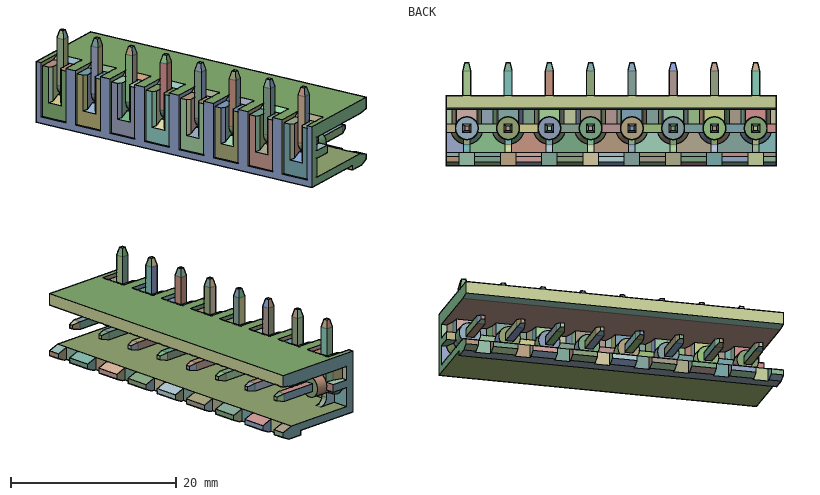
import cadquery as cq


WAYS = 8
PITCH = 5.0
LENGTH = WAYS * PITCH
DEPTH = 12.0
BODY_BOTTOM = 0.6
BODY_TOP = 8.5
WALL = 1.1
FLOOR_TOP = 1.6
ROOF_UNDERSIDE = 6.8

ROOF_LEAD_LENGTH = 1.4
ROOF_LEAD_HEIGHT = 0.2
LATCH_LENGTH = 3.05
LATCH_LEAD_LENGTH = 1.0
LATCH_TIP_BOTTOM = 0.45
LATCH_TIP_TOP = 1.1
FLOOR_LEAD_LENGTH = 1.4
LATCH_NOTCH_WIDTH = 1.9

PIN_SIZE = 1.0
PIN_HEIGHT = 12.5
PIN_REACH = 10.8
PIN_FRONT = 1.5
PIN_AXIS_Z = 4.55
PIN_BEND_RADIUS = 1.3
PIN_TIP_LENGTH = 1.0
PIN_TIP_SIZE = 0.5

RECESS_WIDTH = 3.6
RECESS_DEPTH = 0.36
RECESS_BOTTOM = 1.45
RECESS_BOTTOM_DROP = 0.05
STEP_DROP = 0.5
STEP_DEPTH = 2.8
STEP_SLOPE_END = 3.54

SLOT_WIDTH = 1.08
SLOT_FLARE_END = 0.78
SLOT_MOUTH_WIDTH = 1.85
SLOT_BOTTOM = 3.35
SLOT_SLOPE_END = 1.85

BOSS_RADIUS = 1.4
BOSS_END_RADIUS = 1.35
BOSS_END = 4.95
BOSS_FLARE_RADIUS = 1.95
BOSS_FLARE_END = 2.35
BLOCK_WALL_WIDTH = 3.6
BLOCK_END_WIDTH = 2.5
SUPPORT_END = 3.4
WEB_THICKNESS = 0.8
WEB_END = 2.45
WEB_FILLET_RADIUS = 1.0

PIN_BOTTOM = PIN_AXIS_Z - PIN_SIZE / 2
PIN_TOP = PIN_AXIS_Z + PIN_SIZE / 2
PIN_BACK = PIN_FRONT + PIN_SIZE
STEP_FLOOR = BODY_TOP - STEP_DROP


def extrude_section(section, x_start, x_end):
    """Extrude a closed YZ sketch from x_start to x_end."""
    return section.extrude(x_end - x_start).translate((x_start, 0, 0))


def box(x_range, y_range, z_range):
    """Make a box from its limits along the three axes."""
    size = [high - low for low, high in (x_range, y_range, z_range)]
    corner = (x_range[0], y_range[0], z_range[0])
    return cq.Workplane("XY").box(*size, centered=False).translate(corner)


def make_housing():
    section = cq.Workplane("YZ").polyline([
        (0, BODY_BOTTOM),
        (DEPTH - LATCH_LENGTH, BODY_BOTTOM),
        (DEPTH - LATCH_LENGTH, 0),
        (DEPTH - LATCH_LEAD_LENGTH, 0),
        (DEPTH, LATCH_TIP_BOTTOM),
        (DEPTH, LATCH_TIP_TOP),
        (DEPTH - FLOOR_LEAD_LENGTH, FLOOR_TOP),
        (WALL, FLOOR_TOP),
        (WALL, ROOF_UNDERSIDE),
        (DEPTH - ROOF_LEAD_LENGTH, ROOF_UNDERSIDE),
        (DEPTH, ROOF_UNDERSIDE + ROOF_LEAD_HEIGHT),
        (DEPTH, BODY_TOP),
        (0, BODY_TOP),
    ]).close()
    rib = box((0, LENGTH), (0, SUPPORT_END), (PIN_BOTTOM, PIN_TOP))
    return extrude_section(section, 0, LENGTH).union(rib)


def make_support(x):
    """Round boss, the half-round flare that joins it to the wall, the block above and the web below."""
    flare = (
        cq.Workplane("XY")
        .polyline([
            (0, WALL),
            (BOSS_FLARE_RADIUS, WALL),
            (BOSS_RADIUS, BOSS_FLARE_END),
            (BOSS_RADIUS, SUPPORT_END),
            (0, SUPPORT_END),
        ])
        .close()
        .revolve(180, (0, 0, 0), (0, 1, 0))
        .translate((x, 0, PIN_AXIS_Z))
    )
    boss = (
        cq.Workplane("XY")
        .polyline([
            (0, SUPPORT_END),
            (BOSS_RADIUS, SUPPORT_END),
            (BOSS_END_RADIUS, BOSS_END),
            (0, BOSS_END),
        ])
        .close()
        .revolve(360, (0, 0, 0), (0, 1, 0))
        .translate((x, 0, PIN_AXIS_Z))
    )
    block = (
        cq.Workplane("XY")
        .workplane(offset=PIN_AXIS_Z)
        .polyline([
            (x - BLOCK_WALL_WIDTH / 2, WALL),
            (x + BLOCK_WALL_WIDTH / 2, WALL),
            (x + BOSS_RADIUS, BOSS_FLARE_END),
            (x + BLOCK_END_WIDTH / 2, SUPPORT_END),
            (x - BLOCK_END_WIDTH / 2, SUPPORT_END),
            (x - BOSS_RADIUS, BOSS_FLARE_END),
        ])
        .close()
        .extrude(ROOF_UNDERSIDE - PIN_AXIS_Z)
    )
    web_section = (
        cq.Workplane("YZ")
        .moveTo(WALL, BODY_BOTTOM)
        .lineTo(WEB_END + WEB_FILLET_RADIUS, BODY_BOTTOM)
        .lineTo(WEB_END + WEB_FILLET_RADIUS, FLOOR_TOP)
        .radiusArc((WEB_END, FLOOR_TOP + WEB_FILLET_RADIUS), WEB_FILLET_RADIUS)
        .lineTo(WEB_END, PIN_AXIS_Z)
        .lineTo(WALL, PIN_AXIS_Z)
        .close()
    )
    web = extrude_section(web_section, x - WEB_THICKNESS / 2, x + WEB_THICKNESS / 2)
    return flare.union(boss).union(block).union(web)


def make_recess(x):
    """Shallow front recess that runs up into a sloped-back step in the roof."""
    section = cq.Workplane("YZ").polyline([
        (0, RECESS_BOTTOM),
        (RECESS_DEPTH, RECESS_BOTTOM - RECESS_BOTTOM_DROP),
        (RECESS_DEPTH, STEP_FLOOR),
        (STEP_DEPTH, STEP_FLOOR),
        (STEP_SLOPE_END, BODY_TOP),
        (0, BODY_TOP),
    ]).close()
    return extrude_section(section, x - RECESS_WIDTH / 2, x + RECESS_WIDTH / 2)


def make_slot(x):
    """Flared upright slot with a sloping floor that ends under the bend of the pin."""
    half_outline = [
        (SLOT_MOUTH_WIDTH / 2, RECESS_DEPTH),
        (SLOT_WIDTH / 2, SLOT_FLARE_END),
        (SLOT_WIDTH / 2, PIN_BACK),
    ]
    right_side = [(x + offset, y) for offset, y in half_outline]
    left_side = [(x - offset, y) for offset, y in reversed(half_outline)]
    plan = (
        cq.Workplane("XY")
        .workplane(offset=SLOT_BOTTOM)
        .polyline(right_side + left_side)
        .close()
        .extrude(STEP_FLOOR - SLOT_BOTTOM)
    )
    section = cq.Workplane("YZ").polyline([
        (RECESS_DEPTH, SLOT_BOTTOM),
        (SLOT_SLOPE_END, PIN_BOTTOM),
        (PIN_BACK, PIN_BOTTOM),
        (PIN_BACK, STEP_FLOOR),
        (RECESS_DEPTH, STEP_FLOOR),
    ]).close()
    return plan.intersect(extrude_section(section, x - SLOT_MOUTH_WIDTH, x + SLOT_MOUTH_WIDTH))


def make_latch_notch(x):
    """Gap in the free edge of the floor."""
    half = LATCH_NOTCH_WIDTH / 2
    return box((x - half, x + half), (DEPTH - FLOOR_LEAD_LENGTH, DEPTH), (0, FLOOR_TOP))


def make_pin(x):
    """Square pin bent through a right angle, with a tapered tip at both ends."""
    leg_top = PIN_HEIGHT - PIN_TIP_LENGTH
    leg_end = PIN_REACH - PIN_TIP_LENGTH
    section = (
        cq.Workplane("YZ")
        .moveTo(PIN_FRONT, leg_top)
        .lineTo(PIN_FRONT, PIN_BOTTOM + PIN_BEND_RADIUS)
        .radiusArc((PIN_FRONT + PIN_BEND_RADIUS, PIN_BOTTOM), -PIN_BEND_RADIUS)
        .lineTo(leg_end, PIN_BOTTOM)
        .lineTo(leg_end, PIN_TOP)
        .lineTo(PIN_BACK, PIN_TOP)
        .lineTo(PIN_BACK, leg_top)
        .close()
    )
    bent_bar = extrude_section(section, x - PIN_SIZE / 2, x + PIN_SIZE / 2)
    tip = (
        cq.Workplane("XY")
        .rect(PIN_SIZE, PIN_SIZE)
        .workplane(offset=PIN_TIP_LENGTH)
        .rect(PIN_TIP_SIZE, PIN_TIP_SIZE)
        .loft()
    )
    upright_tip = tip.translate((x, (PIN_FRONT + PIN_BACK) / 2, leg_top))
    level_tip = tip.rotate((0, 0, 0), (1, 0, 0), -90).translate((x, leg_end, PIN_AXIS_Z))
    return bent_bar.union(upright_tip).union(level_tip)


way_centres = [(way + 0.5) * PITCH for way in range(WAYS)]
result = make_housing()
for centre in way_centres:
    result = result.union(make_support(centre))
for centre in way_centres:
    result = result.cut(make_recess(centre)).cut(make_slot(centre)).cut(make_latch_notch(centre))
for centre in way_centres:
    result = result.union(make_pin(centre))